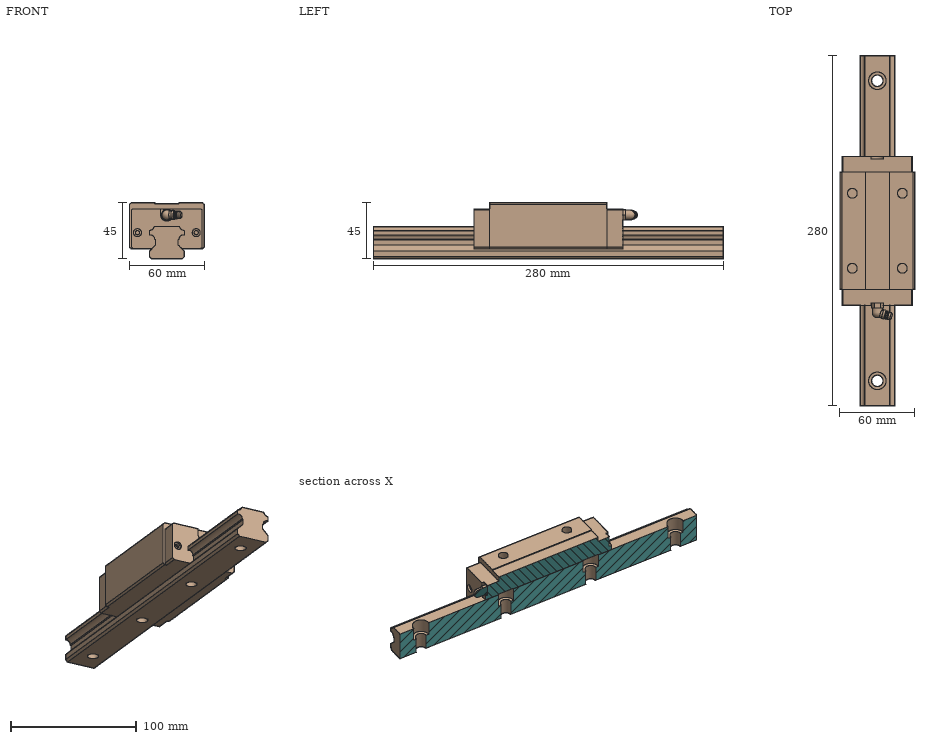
import cadquery as cq


RAIL_LENGTH = 280.0
RAIL_HALF_WIDTH = 14.0
RAIL_HEIGHT = 26.0
RAIL_FOOT_HEIGHT = 6.2
RAIL_FOOT_CHAMFER = 1.8
WAIST_HALF_WIDTH = 9.0
WAIST_TOP = 15.2
LOWER_GROOVE_BOTTOM = 15.8
SHOULDER_BOTTOM = 19.2
SHOULDER_TOP = 22.9
SHOULDER_CHAMFER = 0.4
RAIL_TOP_HALF_WIDTH = 9.8
RAIL_TOP_CHAMFER = 0.5
GROOVE_RADIUS = 3.3
LOWER_GROOVE_LIP = 0.9

RAIL_HOLE_PITCH = 80.0
RAIL_HOLE_COUNT = 4
RAIL_HOLE_DIAMETER = 9.0
RAIL_CBORE_DIAMETER = 14.0
RAIL_CBORE_DEPTH = 12.0

CARRIAGE_LENGTH = 119.2
BLOCK_LENGTH = 93.8
BLOCK_WIDTH = 60.0
CARRIAGE_TOP = 45.0
CARRIAGE_BOTTOM = 8.0
BLOCK_TOP_CHAMFER = 1.6
BLOCK_BOTTOM_CHAMFER = 1.5
TOP_CHANNEL_WIDTH = 19.2
TOP_CHANNEL_DEPTH = 0.8

CAP_WIDTH = 56.6
CAP_TOP = 40.0
CAP_TOP_CHAMFER = 0.9
CAP_BOTTOM_CHAMFER = 1.5

MOUNT_HOLE_DIAMETER = 7.8
MOUNT_HOLE_DEPTH = 10.0
MOUNT_SPACING_X = 40.0
MOUNT_SPACING_Y = 60.0

SCREW_X = 23.5
SCREW_Z = 21.0
SCREW_CBORE_DIAMETER = 6.4
SCREW_CBORE_DEPTH = 2.0
SCREW_HOLE_DIAMETER = 3.4
SCREW_HOLE_DEPTH = 4.0

NIPPLE_Z = 35.2
SEAT_WIDTH = 10.0
SEAT_DEPTH = 2.0
HEX_CORNER_DIAMETER = 9.6
HEX_HEIGHT = 4.0
ELBOW_RADIUS = 4.0
ELBOW_REACH = 5.9
BRANCH_ANGLE = 15.0

NECK_END = 4.2
NECK_RADIUS = 3.2
COLLAR_END = 6.2
COLLAR_RADIUS = 3.6
GROOVE_WIDTH = 0.9
GROOVE_FLOOR_RADIUS = 2.8
RING_WIDTH = 1.0
RING_RADIUS = 3.3
HEAD_START = COLLAR_END + RING_WIDTH + 2 * GROOVE_WIDTH
HEAD_RADIUS = 3.0
HEAD_TAPER_START = 10.8
HEAD_TIP_RADIUS = 2.1
BRANCH_LENGTH = 12.0

FACE_Y = CARRIAGE_LENGTH / 2


def prism(outline, length):
    """Extrude an XZ outline symmetrically along Y."""
    return outline.extrude(length / 2, both=True)


def rail_profile():
    """Right half of the rail section, with two concave ball grooves, mirrored to the left."""
    lip_x = RAIL_HALF_WIDTH - LOWER_GROOVE_LIP
    lower_x = lip_x - GROOVE_RADIUS
    upper_x = RAIL_TOP_HALF_WIDTH + RAIL_TOP_CHAMFER
    upper_z = RAIL_HEIGHT - RAIL_TOP_CHAMFER
    slope_height = RAIL_HALF_WIDTH - WAIST_HALF_WIDTH
    return (
        cq.Workplane("XZ")
        .moveTo(0, 0)
        .lineTo(RAIL_HALF_WIDTH - RAIL_FOOT_CHAMFER, 0)
        .lineTo(RAIL_HALF_WIDTH, RAIL_FOOT_CHAMFER)
        .lineTo(RAIL_HALF_WIDTH, RAIL_FOOT_HEIGHT)
        .lineTo(WAIST_HALF_WIDTH, RAIL_FOOT_HEIGHT + slope_height)
        .lineTo(WAIST_HALF_WIDTH, WAIST_TOP)
        .lineTo(lower_x, LOWER_GROOVE_BOTTOM)
        .radiusArc((lip_x, SHOULDER_BOTTOM), GROOVE_RADIUS)
        .lineTo(RAIL_HALF_WIDTH, SHOULDER_BOTTOM)
        .lineTo(RAIL_HALF_WIDTH, SHOULDER_TOP - SHOULDER_CHAMFER)
        .lineTo(RAIL_HALF_WIDTH - SHOULDER_CHAMFER, SHOULDER_TOP)
        .radiusArc((upper_x, upper_z), GROOVE_RADIUS)
        .lineTo(RAIL_TOP_HALF_WIDTH, RAIL_HEIGHT)
        .lineTo(0, RAIL_HEIGHT)
        .mirrorY()
    )


def make_rail():
    return (
        prism(rail_profile(), RAIL_LENGTH)
        .faces(">Z")
        .workplane(origin=(0, 0, RAIL_HEIGHT))
        .rarray(1, RAIL_HOLE_PITCH, 1, RAIL_HOLE_COUNT)
        .cboreHole(RAIL_HOLE_DIAMETER, RAIL_CBORE_DIAMETER, RAIL_CBORE_DEPTH)
    )


def chamfered_bar(width, length, top, top_chamfer, bottom_chamfer):
    """Bar along Y from the carriage underside up to top, with its long edges chamfered."""
    bar = cq.Workplane("XY", origin=(0, 0, CARRIAGE_BOTTOM)).box(
        width, length, top - CARRIAGE_BOTTOM, centered=(True, True, False)
    )
    bar = bar.edges("|Y and >Z").chamfer(top_chamfer)
    return bar.edges("|Y and <Z").chamfer(bottom_chamfer)


def nipple_seat():
    """U-shaped pocket, open at the top, in the -Y end face of the carriage."""
    seat_radius = SEAT_WIDTH / 2
    bottom = (
        cq.Workplane("XZ", origin=(0, -FACE_Y + SEAT_DEPTH, NIPPLE_Z))
        .circle(seat_radius)
        .extrude(SEAT_DEPTH)
    )
    opening = cq.Workplane("XY", origin=(0, -FACE_Y, NIPPLE_Z)).box(
        SEAT_WIDTH, SEAT_DEPTH, CAP_TOP - NIPPLE_Z, centered=(True, False, False)
    )
    return bottom.union(opening)


def end_screw_holes():
    """Counterbored blind holes in the -Y end face of the carriage."""
    places = [(-SCREW_X, SCREW_Z), (SCREW_X, SCREW_Z)]
    face = cq.Workplane("XZ", origin=(0, -FACE_Y, 0)).pushPoints(places)
    counterbores = face.circle(SCREW_CBORE_DIAMETER / 2).extrude(-SCREW_CBORE_DEPTH)
    holes = face.circle(SCREW_HOLE_DIAMETER / 2).extrude(-SCREW_HOLE_DEPTH)
    return counterbores.union(holes)


def make_carriage():
    block = chamfered_bar(BLOCK_WIDTH, BLOCK_LENGTH, CARRIAGE_TOP, BLOCK_TOP_CHAMFER, BLOCK_BOTTOM_CHAMFER)
    caps = chamfered_bar(CAP_WIDTH, CARRIAGE_LENGTH, CAP_TOP, CAP_TOP_CHAMFER, CAP_BOTTOM_CHAMFER)
    carriage = block.union(caps)

    channel = cq.Workplane("XY", origin=(0, 0, CARRIAGE_TOP - TOP_CHANNEL_DEPTH)).box(
        TOP_CHANNEL_WIDTH, BLOCK_LENGTH, TOP_CHANNEL_DEPTH, centered=(True, True, False)
    )
    mount_holes = (
        cq.Workplane("XY", origin=(0, 0, CARRIAGE_TOP))
        .rarray(MOUNT_SPACING_X, MOUNT_SPACING_Y, 2, 2)
        .circle(MOUNT_HOLE_DIAMETER / 2)
        .extrude(-MOUNT_HOLE_DEPTH)
    )
    carriage = carriage.cut(channel).cut(mount_holes)

    for feature in (nipple_seat(), end_screw_holes()):
        carriage = carriage.cut(feature).cut(feature.mirror("XZ"))

    return carriage.cut(prism(rail_profile(), RAIL_LENGTH))


def nipple_branch():
    """Turned outlet along +X from the origin: neck, collar, groove, ring, groove and tapered head."""
    sections = [
        (NECK_END, NECK_RADIUS),
        (COLLAR_END, COLLAR_RADIUS),
        (COLLAR_END + GROOVE_WIDTH, GROOVE_FLOOR_RADIUS),
        (COLLAR_END + GROOVE_WIDTH + RING_WIDTH, RING_RADIUS),
        (HEAD_START, GROOVE_FLOOR_RADIUS),
        (HEAD_TAPER_START, HEAD_RADIUS),
    ]
    outline = cq.Workplane("XY").moveTo(0, 0)
    start = 0.0
    for end, radius in sections:
        outline = outline.lineTo(start, radius).lineTo(end, radius)
        start = end
    outline = outline.lineTo(BRANCH_LENGTH, HEAD_TIP_RADIUS).lineTo(BRANCH_LENGTH, 0).close()
    return outline.revolve(360, (0, 0, 0), (1, 0, 0))


def make_nipple():
    seat_y = -FACE_Y + SEAT_DEPTH
    centre = (0, -FACE_Y - ELBOW_REACH, NIPPLE_Z)
    base = cq.Workplane("XZ", origin=(0, seat_y, NIPPLE_Z))
    hexagon = base.polygon(6, HEX_CORNER_DIAMETER).extrude(HEX_HEIGHT)
    stem = base.circle(ELBOW_RADIUS).extrude(SEAT_DEPTH + ELBOW_REACH)
    ball = cq.Workplane("XY", origin=centre).sphere(ELBOW_RADIUS)
    branch = nipple_branch().rotate((0, 0, 0), (0, 0, 1), -BRANCH_ANGLE).translate(centre)
    return hexagon.union(stem).union(ball).union(branch)


rail = make_rail()
carriage = make_carriage()
nipple = make_nipple()

result = cq.Compound.makeCompound([rail.val(), carriage.val(), nipple.val()])